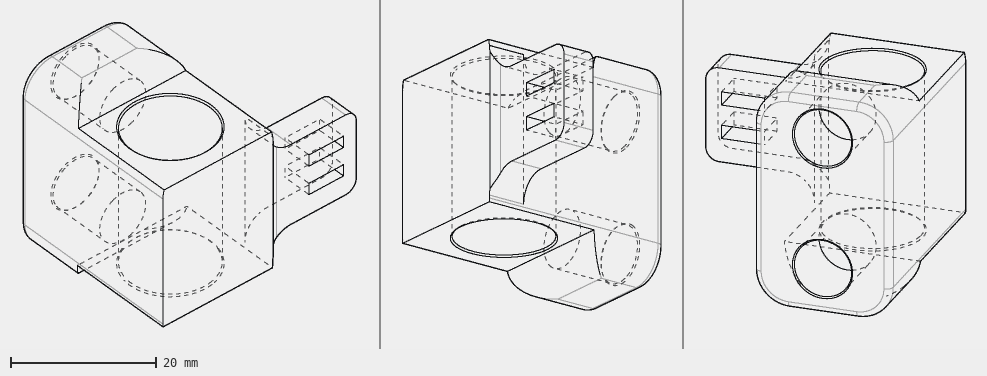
import cadquery as cq
import math


body_length = 30.0
body_width = 20.0
body_height = 32.0
corner_radius = 5.0
face_edge_radius = 1.0
shoulder_end = 12.0
top_step = 3.53
bottom_step = 4.45

bore_diameter = 14.3
bore_x = 20.0
bore_chamfer = 0.25

pocket_diameter = 8.4
pocket_depth = 10.0
pocket_chamfer = 0.2
upper_pocket_drop = 5.8
lower_pocket_rise = 6.65

arm_reach = 16.0
arm_height = 14.08
arm_thickness = 5.0
arm_end_gap = 0.85
arm_tip_radius = 1.98
arm_flare_radius = 4.0
arm_side_radius = 1.4
arm_root_depth = 1.0

slot_length = 6.3
slot_height = 1.98
slot_spacing = 5.0
slot_tip_gap = 2.35

side_y = body_width / 2
tip_y = side_y + arm_reach
root_y = side_y - arm_root_depth
block_top = body_height - top_step
block_bottom = bottom_step
arm_z = (block_top + block_bottom) / 2
arm_far_x = body_length - arm_end_gap
arm_near_x = arm_far_x - arm_thickness


def shoulder_arc(step):
    """Start X, then midpoint X and drop, of a shoulder arc that falls by step."""
    turn = math.acos(1 - step / corner_radius)
    start_x = shoulder_end - corner_radius * math.sin(turn)
    middle_x = start_x + corner_radius * math.sin(turn / 2)
    middle_drop = corner_radius * (1 - math.cos(turn / 2))
    return start_x, middle_x, middle_drop


def make_body():
    """Rounded bar cut to the stepped side profile, so the shoulders meet at mitres."""
    bar = (
        cq.Workplane("XY")
        .box(body_length, body_width, body_height, centered=(False, True, False))
        .edges("|X")
        .fillet(corner_radius)
        .faces("<X")
        .edges()
        .fillet(face_edge_radius)
    )
    low_start, low_middle, low_drop = shoulder_arc(bottom_step)
    high_start, high_middle, high_drop = shoulder_arc(top_step)
    side_profile = (
        cq.Workplane("XZ")
        .lineTo(low_start, 0)
        .threePointArc((low_middle, low_drop), (shoulder_end, block_bottom))
        .lineTo(body_length, block_bottom)
        .lineTo(body_length, block_top)
        .lineTo(shoulder_end, block_top)
        .threePointArc((high_middle, body_height - high_drop), (high_start, body_height))
        .lineTo(0, body_height)
        .close()
        .extrude(body_width, both=True)
    )
    return bar.intersect(side_profile)


def make_arm():
    """Plate with rounded tip, flared root, and a root fillet on its +X face only."""
    half_height = arm_height / 2
    flared_half = half_height + arm_flare_radius
    flare_y = side_y + arm_flare_radius
    outline = (
        cq.Workplane("YZ", origin=(0, 0, arm_z))
        .moveTo(root_y, -flared_half)
        .lineTo(side_y, -flared_half)
        .radiusArc((flare_y, -half_height), arm_flare_radius)
        .lineTo(tip_y, -half_height)
        .lineTo(tip_y, half_height)
        .lineTo(flare_y, half_height)
        .radiusArc((side_y, flared_half), arm_flare_radius)
        .lineTo(root_y, flared_half)
        .close()
        .extrude(body_length)
        .edges("|X and >Y")
        .fillet(arm_tip_radius)
    )
    fillet_end_y = side_y + arm_side_radius - math.sqrt(
        arm_side_radius**2 - (arm_side_radius - arm_end_gap) ** 2
    )
    thickness_profile = (
        cq.Workplane("XY")
        .moveTo(arm_near_x, root_y)
        .lineTo(body_length, root_y)
        .lineTo(body_length, fillet_end_y)
        .radiusArc((arm_far_x, side_y + arm_side_radius), arm_side_radius)
        .lineTo(arm_far_x, tip_y)
        .lineTo(arm_near_x, tip_y)
        .close()
        .extrude(body_height)
    )
    slots = (
        cq.Workplane("YZ", origin=(0, tip_y - slot_tip_gap - slot_length / 2, arm_z))
        .rarray(0.35, slot_spacing, 1, 2)
        .rect(slot_length, slot_height)
        .extrude(body_length)
    )
    return outline.intersect(thickness_profile).cut(slots)


def make_bore():
    """Through-bore cutter with a chamfer at both mouths."""
    block_height = block_top - block_bottom
    radius = bore_diameter / 2
    return (
        cq.Workplane("XZ", origin=(bore_x, 0, block_bottom))
        .lineTo(radius + bore_chamfer, 0)
        .lineTo(radius, bore_chamfer)
        .lineTo(radius, block_height - bore_chamfer)
        .lineTo(radius + bore_chamfer, block_height)
        .lineTo(0, block_height)
        .close()
        .revolve(360, (0, 0), (0, 1))
    )


def make_pocket(center_z):
    """Blind hole cutter along +X with a chamfered mouth at the head face."""
    radius = pocket_diameter / 2
    return (
        cq.Workplane("XY", origin=(0, 0, center_z))
        .lineTo(0, radius + pocket_chamfer)
        .lineTo(pocket_chamfer, radius)
        .lineTo(pocket_depth, radius)
        .lineTo(pocket_depth, 0)
        .close()
        .revolve(360, (0, 0), (1, 0))
    )


result = make_body().union(make_arm()).cut(make_bore())
for pocket_z in (lower_pocket_rise, body_height - upper_pocket_drop):
    result = result.cut(make_pocket(pocket_z))